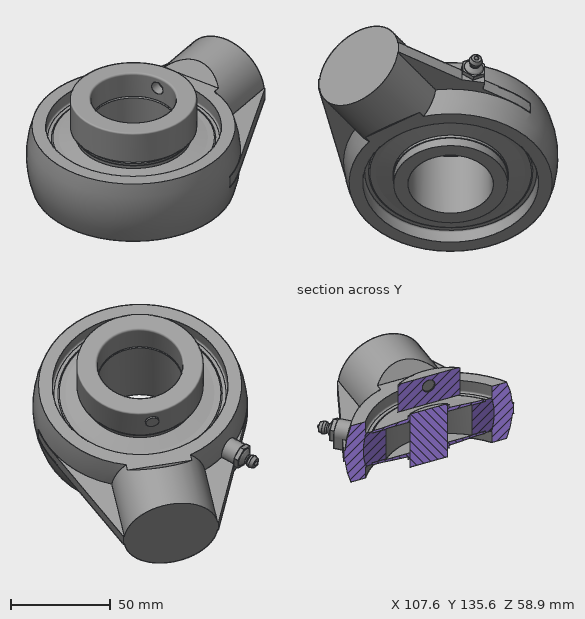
import cadquery as cq
import math


BODY_RADIUS = 53.8
BODY_HALF_WIDTH = 17.5
SHANK_RADIUS = 24.0
SHANK_END = 81.8
SHANK_FLAT_END = 51.7
WEB_HALF_THICKNESS = 3.3
WEB_END_HALF_WIDTH = 24.3
WEB_PROUD = 0.1
WEB_ARC_RADIUS = BODY_RADIUS + WEB_PROUD
WEB_ARC_END = 7.3

NIPPLE_ANGLE = 135
NIPPLE_HEIGHT = 4.0
BOSS_RADIUS = 6.0
BOSS_START = 47.5
BOSS_FACE = 60.6
HEX_FLATS = 11.0
HEX_THICKNESS = 2.3
HEX_TURN = 30
NIPPLE_BASE_RADIUS = 4.9
NIPPLE_SHOULDER_RADIUS = 4.3
NIPPLE_NECK_RADIUS = 2.5
NIPPLE_HEAD_RADIUS = 3.4
NIPPLE_HEAD_BACK_RADIUS = 3.0
NIPPLE_TIP_RADIUS = 2.6
SHOULDER_TOP = 63.6
NECK_START = 65.0
NECK_END = 65.8
HEAD_BACK = 66.6
HEAD_WIDEST = 68.0
NIPPLE_TIP = 70.0
VALVE_RADIUS = 2.3 / 2

SEAT_RADIUS = 90.0 / 2
OPENING_RADIUS = 88.2 / 2
RING_HALF_WIDTH = 10.3
OPENING_FILLET = 1.0
RING_FACE_RADIUS = OPENING_RADIUS - OPENING_FILLET
OUTER_RING_BORE = 71.3 / 2

SEAL_RADIUS = 41.2
SEAL_RIM_RADIUS = 40.5
SEAL_FLAT_RADIUS = 74.9 / 2
SEAL_LIP_RADIUS = 57.9 / 2
SEAL_SEAT = 9.4
SEAL_FLAT = 10.7
SEAL_CONE_TOP = 11.8
SEAL_LIP_TOP = 13.4

BORE_RADIUS = 42.9 / 2
INNER_RING_RADIUS = 57.1 / 2
INNER_RING_BOTTOM = -18.6
SHOULDER_HEIGHT = 14.5
EXTENSION_RADIUS = 50.3 / 2
EXTENSION_TOP = 21.0
BORE_CHAMFER = 1.1

COLLAR_RADIUS = 63.5 / 2
COLLAR_BOTTOM = BODY_HALF_WIDTH
COLLAR_TOP = 34.9
COLLAR_FILLET = 0.8
COLLAR_BORE_FILLET = 1.1
SCREW_RADIUS = 6.8 / 2
SCREW_HEIGHT = 28.5
SCREW_INNER = 27.1
SCREW_OUTER = 32.7


def revolved(profile):
    """Turn a closed (radius, z) polygon about the Z axis."""
    return cq.Workplane("XZ").polyline(profile).close().revolve(360, (0, 0), (0, 1))


def barrel(radius, half_width):
    """Slice of a solid sphere about the origin, between z = -half_width and half_width."""
    slab = cq.Workplane("XY").circle(2 * radius).extrude(half_width, both=True)
    return cq.Workplane("XY").sphere(radius).intersect(slab)


def make_shank():
    """Round shank with flats level with the body faces and 45 degree slopes up from them."""
    shank = cq.Workplane("XZ").circle(SHANK_RADIUS).extrude(-SHANK_END)
    slope_end = SHANK_FLAT_END + SHANK_RADIUS - BODY_HALF_WIDTH
    side_outline = [
        (0, BODY_HALF_WIDTH),
        (SHANK_FLAT_END, BODY_HALF_WIDTH),
        (slope_end, SHANK_RADIUS),
        (SHANK_END, SHANK_RADIUS),
        (SHANK_END, -SHANK_RADIUS),
        (slope_end, -SHANK_RADIUS),
        (SHANK_FLAT_END, -BODY_HALF_WIDTH),
        (0, -BODY_HALF_WIDTH),
    ]
    envelope = cq.Workplane("YZ").polyline(side_outline).close().extrude(SHANK_RADIUS, both=True)
    return shank.intersect(envelope)


def make_web():
    """Flat web whose straight sides run tangent onto the body and follow it for a short arc."""
    corner_distance = math.hypot(WEB_END_HALF_WIDTH, SHANK_END)
    corner_angle = math.atan2(SHANK_END, WEB_END_HALF_WIDTH)
    tangent_angle = corner_angle - math.acos(WEB_ARC_RADIUS / corner_distance)
    end_angle = math.asin(WEB_ARC_END / WEB_ARC_RADIUS)

    def on_arc(angle, side):
        return (side * WEB_ARC_RADIUS * math.cos(angle), WEB_ARC_RADIUS * math.sin(angle))

    middle_angle = (tangent_angle + end_angle) / 2
    return (
        cq.Workplane("XY")
        .moveTo(-WEB_END_HALF_WIDTH, SHANK_END)
        .lineTo(WEB_END_HALF_WIDTH, SHANK_END)
        .lineTo(*on_arc(tangent_angle, 1))
        .threePointArc(on_arc(middle_angle, 1), on_arc(end_angle, 1))
        .lineTo(*on_arc(end_angle, -1))
        .threePointArc(on_arc(middle_angle, -1), on_arc(tangent_angle, -1))
        .close()
        .extrude(WEB_HALF_THICKNESS, both=True)
    )


def make_boss():
    """Boss with a round top and straight sides reaching down to the underside of the web."""
    return (
        cq.Workplane("YZ")
        .workplane(offset=BOSS_START)
        .moveTo(-BOSS_RADIUS, -WEB_HALF_THICKNESS)
        .lineTo(BOSS_RADIUS, -WEB_HALF_THICKNESS)
        .lineTo(BOSS_RADIUS, NIPPLE_HEIGHT)
        .threePointArc((0, NIPPLE_HEIGHT + BOSS_RADIUS), (-BOSS_RADIUS, NIPPLE_HEIGHT))
        .close()
        .extrude(BOSS_FACE - BOSS_START)
        .rotate((0, 0, 0), (0, 0, 1), NIPPLE_ANGLE)
    )


def make_seat_blank():
    """Outer ring without its bore: a barrel whose corners are chamfered down to the end faces."""
    corner = math.sqrt(SEAT_RADIUS**2 - OPENING_RADIUS**2)
    corners = revolved([
        (0, -RING_HALF_WIDTH),
        (RING_FACE_RADIUS, -RING_HALF_WIDTH),
        (OPENING_RADIUS, -corner),
        (OPENING_RADIUS, corner),
        (RING_FACE_RADIUS, RING_HALF_WIDTH),
        (0, RING_HALF_WIDTH),
    ])
    return corners.union(barrel(SEAT_RADIUS, corner))


def make_opening():
    """Counterbore above the outer ring, with a rounded corner at its floor."""
    return (
        cq.Workplane("XY")
        .workplane(offset=RING_HALF_WIDTH)
        .circle(OPENING_RADIUS)
        .extrude(BODY_HALF_WIDTH - RING_HALF_WIDTH)
        .faces("<Z")
        .edges()
        .fillet(OPENING_FILLET)
    )


def make_housing():
    opening = make_opening()
    return (
        barrel(BODY_RADIUS, BODY_HALF_WIDTH)
        .union(make_shank())
        .union(make_web())
        .union(make_boss())
        .cut(make_seat_blank())
        .cut(opening)
        .cut(opening.mirror("XY"))
    )


def make_nipple():
    """Grease nipple: hexagon, shoulder, neck, pointed head and valve bump, standing on the boss."""
    hexagon = (
        cq.Workplane("XY")
        .workplane(offset=BOSS_FACE)
        .polygon(6, HEX_FLATS, circumscribed=True)
        .extrude(HEX_THICKNESS)
        .rotate((0, 0, 0), (0, 0, 1), HEX_TURN)
    )
    hex_top = BOSS_FACE + HEX_THICKNESS
    stem = revolved([
        (0, hex_top),
        (NIPPLE_BASE_RADIUS, hex_top),
        (NIPPLE_SHOULDER_RADIUS, SHOULDER_TOP),
        (NIPPLE_NECK_RADIUS, NECK_START),
        (NIPPLE_NECK_RADIUS, NECK_END),
        (NIPPLE_HEAD_BACK_RADIUS, HEAD_BACK),
        (NIPPLE_HEAD_RADIUS, HEAD_WIDEST),
        (NIPPLE_TIP_RADIUS, NIPPLE_TIP),
        (0, NIPPLE_TIP),
    ])
    valve = cq.Workplane("XY").sphere(VALVE_RADIUS).translate((0, 0, NIPPLE_TIP))
    return (
        hexagon.union(stem)
        .union(valve)
        .rotate((0, 0, 0), (0, 1, 0), 90)
        .rotate((0, 0, 0), (0, 0, 1), NIPPLE_ANGLE)
        .translate((0, 0, NIPPLE_HEIGHT))
    )


def make_outer_ring():
    bore = revolved([
        (0, -RING_HALF_WIDTH),
        (SEAL_RADIUS, -RING_HALF_WIDTH),
        (SEAL_RADIUS, -SEAL_SEAT),
        (OUTER_RING_BORE, -SEAL_SEAT),
        (OUTER_RING_BORE, SEAL_SEAT),
        (SEAL_RADIUS, SEAL_SEAT),
        (SEAL_RADIUS, RING_HALF_WIDTH),
        (0, RING_HALF_WIDTH),
    ])
    return make_seat_blank().cut(bore)


def make_upper_seal():
    """Sheet seal with a bevelled rim, a flat, a shallow cone and a lip along the inner ring."""
    return revolved([
        (INNER_RING_RADIUS, SEAL_SEAT),
        (SEAL_RADIUS, SEAL_SEAT),
        (SEAL_RADIUS, RING_HALF_WIDTH),
        (SEAL_RIM_RADIUS, SEAL_FLAT),
        (SEAL_FLAT_RADIUS, SEAL_FLAT),
        (SEAL_LIP_RADIUS, SEAL_CONE_TOP),
        (SEAL_LIP_RADIUS, SEAL_LIP_TOP),
        (INNER_RING_RADIUS, SEAL_LIP_TOP),
    ])


def make_inner_ring():
    """Inner ring with a narrower extension that carries the collar."""
    return revolved([
        (BORE_RADIUS, INNER_RING_BOTTOM),
        (INNER_RING_RADIUS, INNER_RING_BOTTOM),
        (INNER_RING_RADIUS, SHOULDER_HEIGHT),
        (EXTENSION_RADIUS, SHOULDER_HEIGHT),
        (EXTENSION_RADIUS, EXTENSION_TOP),
        (BORE_RADIUS + BORE_CHAMFER, EXTENSION_TOP),
        (BORE_RADIUS, EXTENSION_TOP - BORE_CHAMFER),
    ])


def make_screw_blank(inner, outer):
    """Cylinder on the set screw axis between two distances from the bearing axis."""
    return (
        cq.Workplane("XZ")
        .workplane(offset=-inner)
        .center(0, SCREW_HEIGHT)
        .circle(SCREW_RADIUS)
        .extrude(inner - outer)
    )


def make_collar():
    """Locking collar, counterbored for the ring extension and drilled for the set screw."""
    blank = revolved([
        (EXTENSION_RADIUS, COLLAR_BOTTOM),
        (COLLAR_RADIUS, COLLAR_BOTTOM),
        (COLLAR_RADIUS, COLLAR_TOP),
        (BORE_RADIUS, COLLAR_TOP),
        (BORE_RADIUS, EXTENSION_TOP),
        (EXTENSION_RADIUS, EXTENSION_TOP),
    ])
    bore_edge = cq.selectors.RadiusNthSelector(0)
    outer_edge = cq.selectors.RadiusNthSelector(1)
    rounded = blank.faces(">Z").edges(outer_edge).fillet(COLLAR_FILLET)
    rounded = rounded.faces(">Z").edges(bore_edge).fillet(COLLAR_BORE_FILLET)
    return rounded.cut(make_screw_blank(0, SCREW_OUTER))


housing = make_housing()
nipple = make_nipple()
outer_ring = make_outer_ring()
inner_ring = make_inner_ring()
collar = make_collar()
set_screw = make_screw_blank(SCREW_INNER, SCREW_OUTER)
upper_seal = make_upper_seal()
seals = [upper_seal, upper_seal.mirror("XY")]

bodies = [housing, nipple, outer_ring, inner_ring, collar, set_screw, *seals]

result = cq.Compound.makeCompound([body.solids().val() for body in bodies])